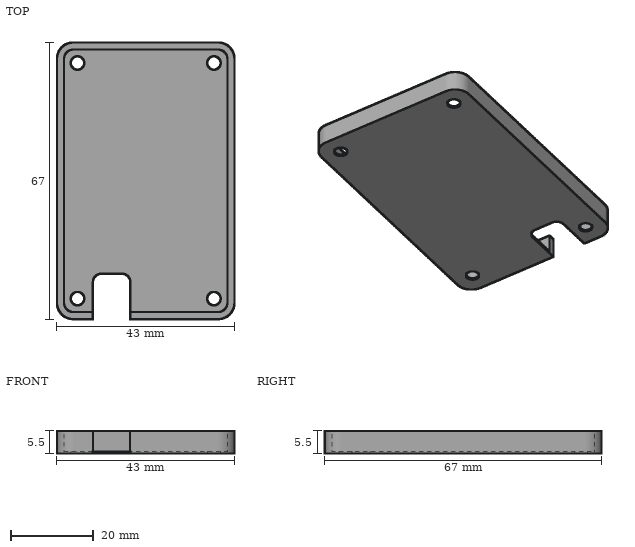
import cadquery as cq

length_x = 43.0
length_y = 67.0
height = 5.5
outer_radius = 4.0
wall = 1.75
floor = 0.5

hole_diameter = 3.2
hole_spacing_x = 33.0
hole_spacing_y = 57.0

notch_width = 9.0
notch_depth = 11.0
notch_center_x = -8.25
notch_radius = 2.0


def rounded_block(size_x, size_y, size_z, radius):
    """Block centred in X and Y, sitting on Z = 0, with rounded vertical edges."""
    block = cq.Workplane("XY").box(size_x, size_y, size_z, centered=(True, True, False))
    return block.edges("|Z").fillet(radius)


def make_tray():
    outer = rounded_block(length_x, length_y, height, outer_radius)
    cavity = rounded_block(
        length_x - 2 * wall, length_y - 2 * wall, height - floor, outer_radius - wall
    )
    return outer.cut(cavity.translate((0, 0, floor)))


def make_holes():
    centers = cq.Workplane("XY").rect(hole_spacing_x, hole_spacing_y, forConstruction=True)
    return centers.vertices().circle(hole_diameter / 2).extrude(floor)


def make_notch():
    """Full-height notch whose two inner corners are rounded."""
    block = cq.Workplane("XY").box(
        notch_width, notch_depth, height, centered=(True, False, False)
    )
    block = block.edges("|Z and >Y").fillet(notch_radius)
    return block.translate((notch_center_x, -length_y / 2, 0))


result = make_tray().cut(make_holes()).cut(make_notch())